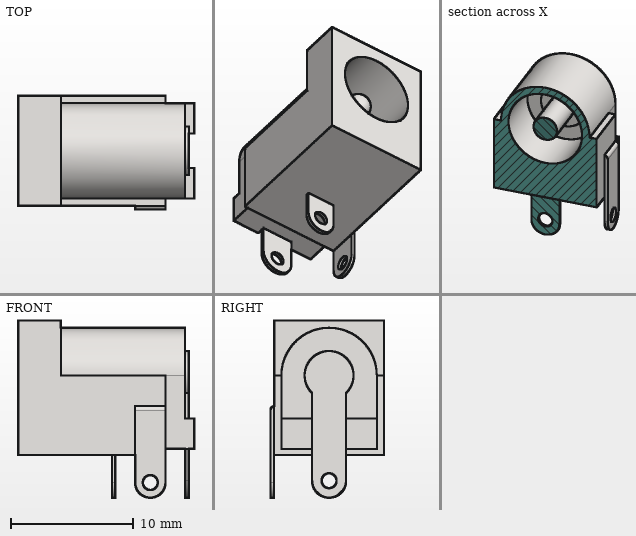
import cadquery as cq
import math


flange_length = 3.5
flange_height = 11.0
housing_width = 9.0
axis_height = 6.5
body_end = 12.05
barrel_diameter = 7.8
barrel_end = 13.65
rear_bottom = 0.5
block_end = 14.4
block_top = 3.0

bore_diameter = 6.4
bore_depth = 12.0

pin_diameter = 2.1
pin_tip_x = 1.5
bushing_diameter = 4.0

terminal_thickness = 0.3
terminal_bottom = -3.5
terminal_hole_diameter = 1.2
terminal_width = 2.5
front_terminal_x = 7.65
rear_terminal_width = 2.8
inline_hole_height = rear_terminal_width / 2
rear_disc_diameter = 4.0
side_terminal_top = 4.0
side_bend_radius = 0.35


def box(x_start, x_end, width, z_start, z_end):
    """Block centered on Y = 0."""
    return cq.Workplane("XY").box(
        x_end - x_start, width, z_end - z_start, centered=(False, True, False)
    ).translate((x_start, 0, z_start))


def rod(x_start, x_end, diameter):
    """Cylinder on the plug axis."""
    plane = cq.Workplane("YZ", origin=(x_start, 0, axis_height))
    return plane.circle(diameter / 2).extrude(x_end - x_start)


def make_tab(plane_name, width, top, hole_height):
    """Flat terminal tab with a round, drilled lower end.

    It is centered on the local Y axis; hole_height is the hole's height above the lower end.
    """
    end_center = terminal_bottom + width / 2
    return (
        cq.Workplane(plane_name)
        .moveTo(-width / 2, top)
        .lineTo(-width / 2, end_center)
        .threePointArc((0, terminal_bottom), (width / 2, end_center))
        .lineTo(width / 2, top)
        .close()
        .extrude(terminal_thickness)
        .cut(
            cq.Workplane(plane_name)
            .center(0, terminal_bottom + hole_height)
            .circle(terminal_hole_diameter / 2)
            .extrude(terminal_thickness)
        )
    )


def make_housing():
    flange = box(0, flange_length, housing_width, 0, flange_height)
    base = box(flange_length, body_end, housing_width, 0, axis_height)
    barrel = rod(flange_length, barrel_end, barrel_diameter)
    rear_part = box(body_end, barrel_end, barrel_diameter, rear_bottom, axis_height)
    blocks = box(barrel_end, block_end, barrel_diameter, rear_bottom, block_top)
    terminal_slot = box(barrel_end, block_end, rear_terminal_width, rear_bottom, block_top)
    housing = flange.union(base).union(barrel).union(rear_part)
    housing = housing.union(blocks.cut(terminal_slot))
    housing = housing.cut(rod(0, bore_depth, bore_diameter))
    return housing.cut(rod(bore_depth, barrel_end, bushing_diameter))


def make_pin():
    """Center pin with a hemispherical tip, ending at the rear terminal."""
    radius = pin_diameter / 2
    shoulder_x = pin_tip_x + radius
    profile = (
        cq.Workplane("XY")
        .moveTo(pin_tip_x, 0)
        .radiusArc((shoulder_x, radius), radius)
        .lineTo(barrel_end, radius)
        .lineTo(barrel_end, 0)
        .close()
    )
    return profile.revolve(360, (0, 0, 0), (1, 0, 0)).translate((0, 0, axis_height))


def make_bushing():
    """Ring that fills the rear wall around the center pin."""
    ring = rod(bore_depth, barrel_end, bushing_diameter)
    return ring.cut(rod(bore_depth, barrel_end, pin_diameter))


def make_front_terminal():
    """Tab hanging from the underside of the housing."""
    return make_tab("YZ", terminal_width, 0, inline_hole_height).translate((front_terminal_x, 0, 0))


def make_rear_terminal():
    """Tab between the guide blocks, with a round contact disc on the plug axis."""
    tab = make_tab("YZ", rear_terminal_width, axis_height, inline_hole_height).translate((barrel_end, 0, 0))
    return tab.union(rod(barrel_end, barrel_end + terminal_thickness, rear_disc_diameter))


def make_side_terminal():
    """Tab on the -Y face of the housing, with a rounded upper outer edge."""
    bend_start = side_terminal_top - side_bend_radius
    tab = make_tab("XZ", terminal_width, bend_start, terminal_width / 2)
    center_y = side_bend_radius - terminal_thickness
    crown_height = math.sqrt(side_bend_radius**2 - center_y**2)
    bend = (
        cq.Workplane("YZ")
        .moveTo(0, bend_start)
        .lineTo(0, bend_start + crown_height)
        .radiusArc((-terminal_thickness, bend_start), -side_bend_radius)
        .close()
        .extrude(terminal_width / 2, both=True)
    )
    return tab.union(bend).translate((body_end - terminal_width / 2, -housing_width / 2, 0))


housing = make_housing()
pin = make_pin()
bushing = make_bushing()
front_terminal = make_front_terminal()
rear_terminal = make_rear_terminal()
side_terminal = make_side_terminal()

result = cq.Compound.makeCompound([
    housing.val(),
    pin.val(),
    bushing.val(),
    front_terminal.val(),
    rear_terminal.val(),
    side_terminal.val(),
])